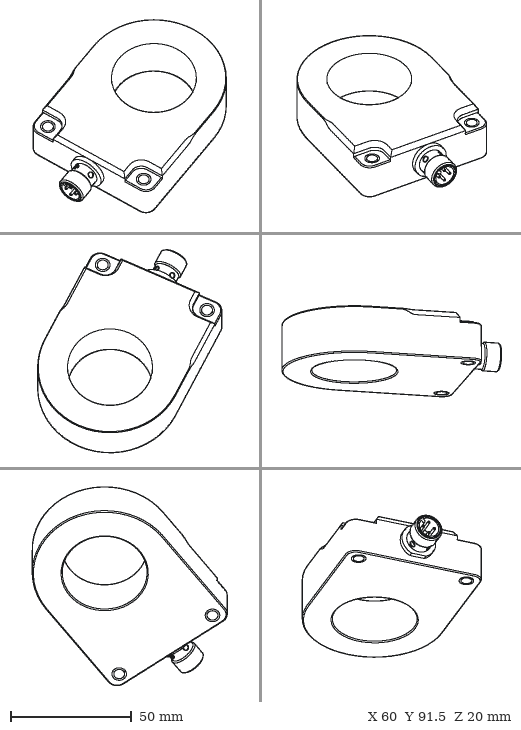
import cadquery as cq
import math

housing_width = 60.0
housing_length = 78.0
housing_height = 20.0
arch_radius = housing_width / 2
bore_diameter = 35.1
corner_radius = 4.5
edge_chamfer = 0.5

bevel_angle = 30
bevel_height = 2.5
bevel_width = bevel_height * math.tan(math.radians(bevel_angle))
arch_bevel_width = 0.3
bevel_start = 13.2
bevel_blend_length = 5.9

pocket_width = 12.0
pocket_length = 10.0
pocket_radius = 4.5
pocket_depth = 4.0

bushing_diameter = 6.0
bushing_bore = 4.5
bushing_inset_x = 6.0
bushing_inset_y = 5.1

connector_length = 13.5
connector_height = housing_height / 2
flange_diameter = 15.0
flange_thickness = 2.0
flange_flat_drop = 6.8
neck_diameter = 10.8
neck_length = 4.5
sleeve_diameter = 12.0
sleeve_chamfer = (sleeve_diameter - neck_diameter) / 2
key_hole_diameter = 2.5
key_hole_offset = 1.9
key_hole_count = 4
key_hole_first_angle = 45

insert_diameter = 9.8
socket_diameter = 8.6
socket_depth = 9.0
pin_diameter = 1.0
pin_chamfer = 0.2
pin_circle_radius = 2.5
pin_count = 4
rib_width = 1.3
rib_reach = 2.7
rib_angle = 135

overall_length = housing_length + connector_length
front_y = -overall_length / 2 + connector_length
arch_centre_y = overall_length / 2 - arch_radius
pocket_floor = housing_height - pocket_depth


def footprint(height):
    """Housing plan outline raised from the bottom plane."""
    block_length = arch_centre_y - front_y
    block = (
        cq.Workplane("XY")
        .center(0, front_y + block_length / 2)
        .rect(housing_width, block_length)
        .extrude(height)
        .edges("|Z and <Y")
        .fillet(corner_radius)
    )
    arch = cq.Workplane("XY").center(0, arch_centre_y).circle(arch_radius).extrude(height)
    return block.union(arch).clean()


def bevel_envelope():
    """Sloping envelope whose upper outline is the crest of the top bevel."""
    outer_x = arch_radius - arch_bevel_width
    inner_x = arch_radius - bevel_width
    middle_x = (outer_x + inner_x) / 2
    front_crest_y = front_y + bevel_width
    start_y = arch_centre_y - bevel_start
    middle_y = start_y - bevel_blend_length / 2
    end_y = start_y - bevel_blend_length
    crest = (
        cq.Workplane("XY", origin=(0, 0, housing_height))
        .moveTo(-outer_x, arch_centre_y)
        .threePointArc((0, arch_centre_y + outer_x), (outer_x, arch_centre_y))
        .lineTo(outer_x, start_y)
        .tangentArcPoint((middle_x, middle_y), relative=False)
        .tangentArcPoint((inner_x, end_y), relative=False)
        .lineTo(inner_x, front_crest_y)
        .lineTo(-inner_x, front_crest_y)
        .lineTo(-inner_x, end_y)
        .tangentArcPoint((-middle_x, middle_y), relative=False)
        .tangentArcPoint((-outer_x, start_y), relative=False)
        .close()
    )
    return crest.extrude(-bevel_height, taper=-bevel_angle)


def corner_pocket(side):
    """Space cleared above one mounting corner, flared by the bevel at the top."""
    def outline(level):
        return (
            cq.Workplane("XY", origin=(side * housing_width / 2, front_y, level))
            .sketch()
            .rect(2 * pocket_width, 2 * pocket_length)
            .vertices()
            .fillet(pocket_radius)
            .finalize()
        )

    straight = outline(pocket_floor - edge_chamfer).extrude(pocket_depth + edge_chamfer)
    flare = outline(housing_height - bevel_height).extrude(bevel_height, taper=-bevel_angle)
    return straight.union(flare)


def bushing_place(side):
    """Centre of one mounting hole on the bottom plane."""
    return (side * (housing_width / 2 - bushing_inset_x), front_y + bushing_inset_y, 0)


def make_bushing(side):
    """Plain sleeve lining one mounting hole, flush with the corner and the bottom."""
    return (
        cq.Workplane("XY", origin=bushing_place(side))
        .circle(bushing_diameter / 2)
        .circle(bushing_bore / 2)
        .extrude(pocket_floor)
    )


def make_housing():
    """Bevelled block with its bore, chamfered mounting corners and bushing holes."""
    lower_block = footprint(housing_height - bevel_height)
    beveled_top = footprint(housing_height).intersect(bevel_envelope())
    bore = cq.Workplane("XY").center(0, arch_centre_y).circle(bore_diameter / 2).extrude(housing_height)
    body = lower_block.union(beveled_top).cut(bore).faces("<Z").chamfer(edge_chamfer)
    plinth = footprint(pocket_floor).faces("<Z or >Z").chamfer(edge_chamfer)
    for side in (-1, 1):
        pocket = corner_pocket(side)
        body = body.cut(pocket).union(plinth.intersect(pocket))
        bushing_hole = (
            cq.Workplane("XY", origin=bushing_place(side)).circle(bushing_diameter / 2).extrude(pocket_floor)
        )
        body = body.cut(bushing_hole)
    return body


def axial_cylinder(diameter, start, length):
    """Cylinder on the connector axis; start is the distance out from the housing's front face."""
    return (
        cq.Workplane("XZ", origin=(0, front_y - start, connector_height))
        .circle(diameter / 2)
        .extrude(length)
    )


def make_connector_shell():
    """Flange, neck and sleeve, with key holes that open onto the pin insert."""
    flange = axial_cylinder(flange_diameter, 0, flange_thickness)
    flat_cutter = (
        cq.Workplane("XY", origin=(0, front_y, connector_height - flange_flat_drop))
        .rect(flange_diameter, 2 * flange_thickness)
        .extrude(-flange_diameter)
    )
    neck = axial_cylinder(neck_diameter, flange_thickness, neck_length)
    sleeve_start = flange_thickness + neck_length
    sleeve = axial_cylinder(sleeve_diameter, sleeve_start, connector_length - sleeve_start)
    sleeve = sleeve.faces("<Y or >Y").chamfer(sleeve_chamfer)
    shell = flange.cut(flat_cutter).union(neck).union(sleeve)
    key_hole_y = front_y - flange_thickness - key_hole_offset
    for index in range(key_hole_count):
        angle = key_hole_first_angle + index * 360 / key_hole_count
        key_hole = (
            cq.Workplane("XY", origin=(0, key_hole_y, 0))
            .circle(key_hole_diameter / 2)
            .extrude(sleeve_diameter / 2)
            .rotate((0, 0, 0), (0, 1, 0), angle)
            .translate((0, 0, connector_height))
        )
        shell = shell.cut(key_hole)
    return shell.cut(axial_cylinder(insert_diameter, 0, connector_length))


def make_pin_insert():
    """Cup filling the connector shell, with contact pins and a coding rib in its socket."""
    socket_start = connector_length - socket_depth
    insert = axial_cylinder(insert_diameter, 0, connector_length)
    socket = axial_cylinder(socket_diameter, socket_start, socket_depth)
    insert = insert.cut(socket)
    pins = (
        cq.Workplane("XZ", origin=(0, front_y - socket_start, connector_height))
        .polarArray(pin_circle_radius, 0, 360, pin_count)
        .circle(pin_diameter / 2)
        .extrude(socket_depth)
        .faces("<Y")
        .chamfer(pin_chamfer)
    )
    tip_centre = rib_reach + rib_width / 2
    wall_middle_radius = (socket_diameter + insert_diameter) / 4
    rib_bar_length = wall_middle_radius - tip_centre
    rib_workplane = cq.Workplane("XZ", origin=(0, front_y - socket_start, 0))
    rib = (
        rib_workplane.center(tip_centre + rib_bar_length / 2, 0)
        .rect(rib_bar_length, rib_width)
        .extrude(socket_depth)
        .union(rib_workplane.center(tip_centre, 0).circle(rib_width / 2).extrude(socket_depth))
        .rotate((0, 0, 0), (0, 1, 0), -rib_angle)
        .translate((0, 0, connector_height))
    )
    return insert.union(pins).union(rib)


housing = make_housing()
bushings = [make_bushing(side) for side in (-1, 1)]
connector_shell = make_connector_shell()
pin_insert = make_pin_insert()

result = cq.Compound.makeCompound(
    [
        housing.val(),
        *[bushing.val() for bushing in bushings],
        connector_shell.val(),
        pin_insert.val(),
    ]
)